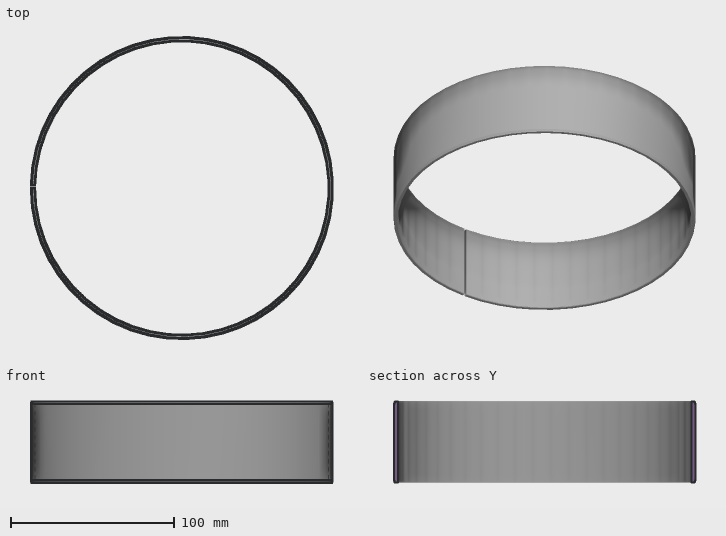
import cadquery as cq

outer_diameter = 185.0
height = 50.0
wall = 2.5
outer_bevel_width = 0.5
outer_bevel_height = 1.7
inner_bevel = 0.4
gap_angle = 1.0

outer_radius = outer_diameter / 2
inner_radius = outer_radius - wall
half_height = height / 2


def wall_section():
    """Wall profile on the -X side, bevelled at all four corners."""
    flat_inner = inner_radius + inner_bevel
    flat_outer = outer_radius - outer_bevel_width
    inner_bevel_start = half_height - inner_bevel
    outer_bevel_start = half_height - outer_bevel_height
    return cq.Workplane("XZ").polyline([
        (-flat_inner, -half_height),
        (-flat_outer, -half_height),
        (-outer_radius, -outer_bevel_start),
        (-outer_radius, outer_bevel_start),
        (-flat_outer, half_height),
        (-flat_inner, half_height),
        (-inner_radius, inner_bevel_start),
        (-inner_radius, -inner_bevel_start),
    ]).close()


result = wall_section().revolve(360 - gap_angle, (0, 0, 0), (0, 1, 0))